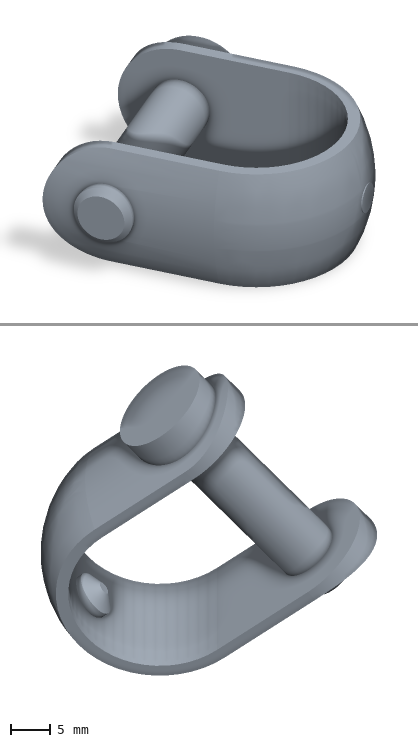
import cadquery as cq

strap_width = 17.0
end_radius = strap_width / 2
crown_radius = 15.13
inner_radius = 11.63
overall_length = 38.5
edge_radius = 13.2
bend_x = 14.82

pin_diameter = 8.0
pin_chamfer = 0.8
pin_tip_y = -16.6
pin_head_diameter = 13.0
pin_head_top_y = 18.4
pin_seat_y = 13.85

stud_stem_diameter = 4.0
stud_head_diameter = 6.0
stud_tip_diameter = 1.65
stud_cone_length = 1.35
stud_rim_length = 1.27
stud_outer_x = overall_length - end_radius
stud_seat_depth = 0.08
stud_seat_x = bend_x + inner_radius + stud_seat_depth
stud_cone_base_x = stud_seat_x - stud_rim_length
stud_tip_x = stud_cone_base_x - stud_cone_length


def strap_section(plane, side):
    """Strap cross-section, drawn on the positive or negative side of the bend axis."""
    return (
        cq.Workplane(plane)
        .moveTo(side * inner_radius, -end_radius)
        .lineTo(side * edge_radius, -end_radius)
        .threePointArc((side * crown_radius, 0), (side * edge_radius, end_radius))
        .lineTo(side * inner_radius, end_radius)
        .close()
    )


def make_arm(side):
    """Straight arm from the bend to its rounded free end."""
    bar = strap_section("YZ", side).extrude(bend_x + end_radius)
    bar = bar.translate((-end_radius, 0, 0))
    rounded_end = cq.Workplane("XZ").circle(end_radius).extrude(crown_radius, both=True)
    straight_part = cq.Workplane("XY").box(
        bend_x, 2 * crown_radius, strap_width, centered=(False, True, True)
    )
    return bar.intersect(rounded_end.union(straight_part))


def make_bend():
    """Half-turn bend that joins the two arms."""
    bend = strap_section("YZ", -1).revolve(180, (0, 0, 0), (0, 1, 0))
    return bend.translate((bend_x, 0, 0))


def make_pin():
    shank_length = pin_seat_y - pin_tip_y
    shank = (
        cq.Workplane("XZ", origin=(0, pin_seat_y, 0))
        .circle(pin_diameter / 2)
        .extrude(shank_length)
        .faces("<Y")
        .chamfer(pin_chamfer)
    )
    head = (
        cq.Workplane("XZ", origin=(0, pin_head_top_y, 0))
        .circle(pin_head_diameter / 2)
        .extrude(pin_head_top_y - pin_seat_y)
    )
    return shank.union(head)


def make_stud():
    """Half profile of the stud turned about the X axis."""
    return (
        cq.Workplane("XY")
        .moveTo(stud_tip_x, 0)
        .lineTo(stud_tip_x, stud_tip_diameter / 2)
        .lineTo(stud_cone_base_x, stud_head_diameter / 2)
        .lineTo(stud_seat_x, stud_head_diameter / 2)
        .lineTo(stud_seat_x, stud_stem_diameter / 2)
        .lineTo(stud_outer_x, stud_stem_diameter / 2)
        .lineTo(stud_outer_x, 0)
        .close()
        .revolve(360, (0, 0, 0), (1, 0, 0))
    )


pin = make_pin()
stud = make_stud()

bow = make_bend()
for arm_side in (-1, 1):
    bow = bow.union(make_arm(arm_side))
bow = bow.cut(pin).cut(stud)

result = cq.Compound.makeCompound([bow.val(), pin.val(), stud.val()])